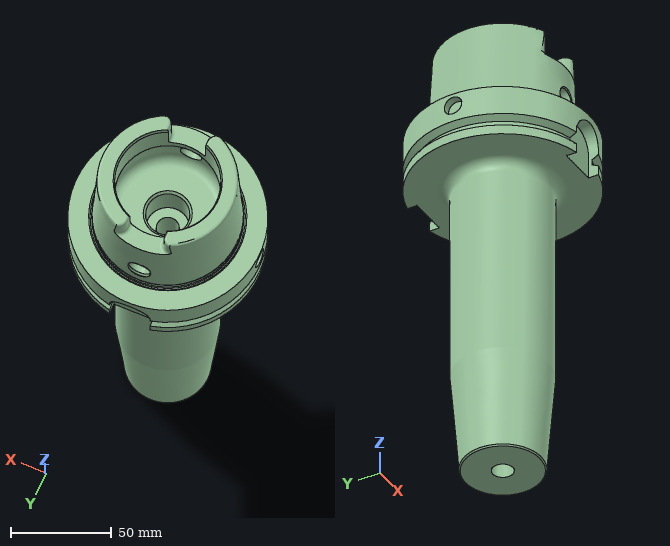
import cadquery as cq
import math


total_height = 250.0
shank_length = 50.0
flange_thickness = 29.0
flange_top = total_height - shank_length
flange_bottom = flange_top - flange_thickness
nose_taper_top = 56.7

taper_slope = 1 / 20
taper_base_height = flange_top + 2.7
taper_base_radius = 37.7
taper_top_radius = taper_base_radius - taper_slope * (total_height - taper_base_height)
rim_round = 1.5

relief_neck_radius = 37.2
relief_neck_height = flange_top + 2.0
relief_lip_radius = 38.0
relief_lip_height = flange_top + 1.2
relief_floor_radius = 38.7
relief_depth = 0.7
relief_rim_radius = relief_floor_radius + relief_depth

flange_radius = 50.0
groove_depth = 3.7
groove_flank_angle = 30
groove_flare = groove_depth * math.tan(math.radians(groove_flank_angle))
groove_floor_radius = flange_radius - groove_depth
groove_floor_top = 181.2
groove_floor_bottom = 178.5

nose_radius = 26.5
nose_angle = 4.5
nose_end_radius = nose_radius - nose_taper_top * math.tan(math.radians(nose_angle))
nose_end_chamfer = 0.7
neck_fillet = 6.0

bore_radius = 26.5
bore_mouth_width = 0.7
bore_mouth_depth = 1.5
bore_lip_height = 230.0
clamp_groove_radius = 30.5
clamp_cone_angle = 30
clamp_cone_drop = (clamp_groove_radius - bore_radius) * math.tan(math.radians(clamp_cone_angle))
bore_floor = 204.7
bore_floor_fillet = 6.0
socket_radius = 11.0
socket_mouth = 1.2
socket_depth = 20.0
through_hole_radius = 5.7

slot_half_width = 10.0
slot_lobe_radius = 4.7
slot_lobe_y = 27.5
slot_tail = 25.0
slot_wall_reach = 35.0
slot_inner_y = 5.0
slot_floor_fillet = 2.0
front_slot_depth = 15.5
back_slot_depth = 10.0

keyway_radius = 11.0
keyway_arch_center = 184.5
keyway_floor_y = 43.0
cross_hole_radius = 5.7
cross_hole_height = 215.0
cross_hole_bevel = 1.0
chip_pocket_radius = 5.0
chip_pocket_height = 193.0
chip_pocket_depth = 4.5


def turned_body():
    """Revolve the outer outline around the Z axis."""
    fillet_middle = neck_fillet * (1 - math.sqrt(0.5))
    round_middle = rim_round * (1 - math.sqrt(0.5))
    outline = (
        cq.Workplane("XZ")
        .moveTo(0, 0)
        .lineTo(nose_end_radius - nose_end_chamfer, 0)
        .lineTo(nose_end_radius, nose_end_chamfer)
        .lineTo(nose_radius, nose_taper_top)
        .lineTo(nose_radius, flange_bottom - neck_fillet)
        .threePointArc(
            (nose_radius + fillet_middle, flange_bottom - fillet_middle),
            (nose_radius + neck_fillet, flange_bottom),
        )
        .lineTo(flange_radius, flange_bottom)
        .lineTo(flange_radius, groove_floor_bottom - groove_flare)
        .lineTo(groove_floor_radius, groove_floor_bottom)
        .lineTo(groove_floor_radius, groove_floor_top)
        .lineTo(flange_radius, groove_floor_top + groove_flare)
        .lineTo(flange_radius, flange_top)
        .lineTo(relief_rim_radius, flange_top)
        .lineTo(relief_floor_radius, flange_top - relief_depth)
        .lineTo(relief_lip_radius, flange_top - relief_depth)
        .lineTo(relief_lip_radius, relief_lip_height)
        .lineTo(relief_neck_radius, relief_neck_height)
        .lineTo(taper_base_radius, taper_base_height)
        .lineTo(taper_top_radius, total_height - rim_round)
        .threePointArc(
            (taper_top_radius - round_middle, total_height - round_middle),
            (taper_top_radius - rim_round, total_height),
        )
        .lineTo(0, total_height)
        .close()
    )
    return outline.revolve(360, (0, 0, 0), (0, 1, 0))


def bore():
    """Stepped bore: mouth, clamping groove under a lip, socket and through hole."""
    socket_floor = bore_floor - socket_depth
    fillet_middle = bore_floor_fillet * (1 - math.sqrt(0.5))
    outline = (
        cq.Workplane("XZ")
        .moveTo(0, 0)
        .lineTo(through_hole_radius, 0)
        .lineTo(through_hole_radius, socket_floor)
        .lineTo(socket_radius, socket_floor)
        .lineTo(socket_radius, bore_floor - socket_mouth)
        .lineTo(socket_radius + socket_mouth, bore_floor)
        .lineTo(clamp_groove_radius - bore_floor_fillet, bore_floor)
        .threePointArc(
            (clamp_groove_radius - fillet_middle, bore_floor + fillet_middle),
            (clamp_groove_radius, bore_floor + bore_floor_fillet),
        )
        .lineTo(clamp_groove_radius, bore_lip_height - clamp_cone_drop)
        .lineTo(bore_radius, bore_lip_height)
        .lineTo(bore_radius, total_height - bore_mouth_depth)
        .lineTo(bore_radius + bore_mouth_width, total_height)
        .lineTo(0, total_height)
        .close()
    )
    return outline.revolve(360, (0, 0, 0), (0, 1, 0))


def slot_prism(depth):
    """Straight prism of a slot on the -Y side; its walls curl around a lobe and run out along a tail."""
    lobe_x = slot_half_width + slot_lobe_radius
    outward = math.atan2(slot_lobe_y, lobe_x)
    lobe_turn = math.pi - outward

    def lobe_point(turn):
        across = lobe_x - slot_lobe_radius * math.cos(turn)
        return (across, -slot_lobe_y - slot_lobe_radius * math.sin(turn))

    end_x, end_y = lobe_point(lobe_turn)
    tail_x = end_x + slot_tail * math.sin(outward)
    tail_y = end_y + slot_tail * math.cos(outward)

    half_outline = (
        cq.Workplane("XY", origin=(0, 0, total_height - depth))
        .moveTo(0, slot_inner_y)
        .lineTo(slot_half_width, slot_inner_y)
        .lineTo(slot_half_width, -slot_lobe_y)
        .threePointArc(lobe_point(lobe_turn / 2), (end_x, end_y))
        .lineTo(tail_x, tail_y)
        .lineTo(tail_x, -flange_radius)
        .lineTo(0, -flange_radius)
    )
    return half_outline.mirrorY().extrude(depth)


def slot_block(depth, half_width, inner_y):
    """Block from the slot floor to the rim, reaching from inner_y out beyond the taper."""
    width = 2 * half_width
    length = inner_y + flange_radius
    plane = cq.Workplane("XY", origin=(0, inner_y - length / 2, total_height - depth))
    return plane.rect(width, length).extrude(depth)


def drive_slot(depth):
    """Slot on the -Y side with a filleted floor and walls rounded over at the rim."""
    prism = slot_prism(depth).faces("<Z").edges().fillet(slot_floor_fillet)
    walls = slot_block(depth, slot_wall_reach, slot_inner_y).cut(prism)
    walls = walls.faces(">Z").edges().fillet(rim_round)
    cut_reach = slot_wall_reach - 2 * rim_round
    return slot_block(depth, cut_reach, 0).cut(walls)


def keyway():
    """Round-topped keyway on the -Y side, open at the flange underside."""
    width = 2 * keyway_radius
    length = keyway_arch_center - flange_bottom
    plane = cq.Workplane("XZ", origin=(0, -keyway_floor_y, 0))
    arch = plane.center(0, keyway_arch_center).circle(keyway_radius).extrude(flange_radius)
    channel = plane.center(0, keyway_arch_center - length / 2).rect(width, length).extrude(flange_radius)
    return arch.union(channel)


def cross_hole():
    """Hole through both taper walls along Y, countersunk at the outside."""
    surface_y = taper_base_radius - taper_slope * (cross_hole_height - taper_base_height)
    outline = (
        cq.Workplane("XY", origin=(0, 0, cross_hole_height))
        .moveTo(0, 0)
        .lineTo(cross_hole_radius, 0)
        .lineTo(cross_hole_radius, surface_y - cross_hole_bevel)
        .lineTo(cross_hole_radius + cross_hole_bevel, surface_y)
        .lineTo(cross_hole_radius + cross_hole_bevel, flange_radius)
        .lineTo(0, flange_radius)
        .close()
    )
    half = outline.revolve(360, (0, 0, 0), (0, 1, 0))
    return half.union(half.mirror("XZ"))


def chip_pocket():
    """Flat-bottomed round pocket in the -X side of the flange."""
    plane = cq.Workplane("YZ", origin=(-flange_radius, 0, chip_pocket_height))
    return plane.circle(chip_pocket_radius).extrude(chip_pocket_depth)


def half_turn(shape):
    return shape.rotate((0, 0, 0), (0, 0, 1), 180)


body = turned_body().cut(bore())
body = body.cut(drive_slot(front_slot_depth))
body = body.cut(half_turn(drive_slot(back_slot_depth)))
body = body.cut(keyway()).cut(half_turn(keyway()))
result = body.cut(cross_hole()).cut(chip_pocket())